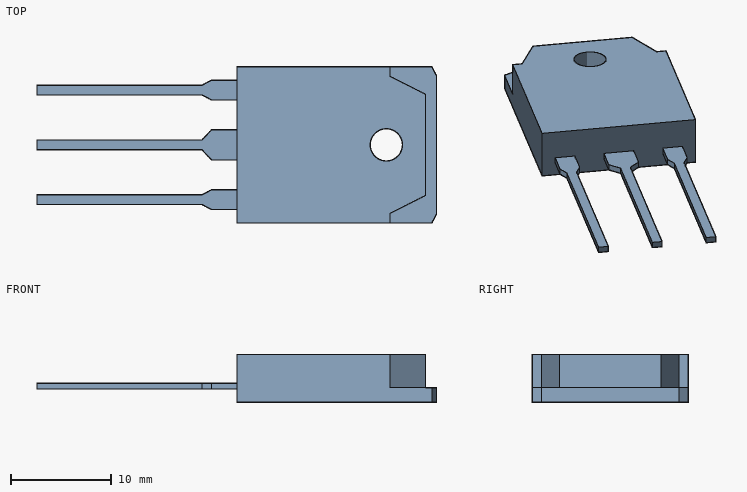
import cadquery as cq

body_length = 19.95
body_width = 15.6
body_height = 4.8
half_width = body_width / 2

tab_thickness = 1.48
tab_corner_length = 0.48
tab_corner_width = 0.9
case_length = 18.85

notch_start = 15.3
notch_step = 0.95
notch_width = 2.75

hole_diameter = 3.2
hole_x = 14.92

lead_length = 19.95
lead_thickness = 0.6
lead_bottom = 1.3
lead_width = 1.0
lead_pitch = 5.45
shoulder_length = 2.5
taper_end = 3.47
outer_shoulder_width = 2.0
middle_shoulder_width = 3.05


def symmetric_plate(half_outline, bottom, thickness, center_y=0.0):
    """Extrude a half outline together with its mirror image about the line Y = center_y."""
    upper = [(x, center_y + y) for x, y in half_outline]
    lower = [(x, center_y - y) for x, y in reversed(half_outline)]
    return cq.Workplane("XY").workplane(offset=bottom).polyline(upper + lower).close().extrude(thickness)


def make_tab():
    outline = [
        (0, half_width),
        (body_length - tab_corner_length, half_width),
        (body_length, half_width - tab_corner_width),
    ]
    return symmetric_plate(outline, 0, tab_thickness)


def make_case():
    outline = [
        (0, half_width),
        (notch_start, half_width),
        (notch_start, half_width - notch_step),
        (case_length, half_width - notch_width),
    ]
    return symmetric_plate(outline, tab_thickness, body_height - tab_thickness)


def make_lead(center_y, shoulder_width):
    outline = [
        (-lead_length, lead_width / 2),
        (-taper_end, lead_width / 2),
        (-shoulder_length, shoulder_width / 2),
        (0, shoulder_width / 2),
    ]
    return symmetric_plate(outline, lead_bottom, lead_thickness, center_y)


hole = cq.Workplane("XY").center(hole_x, 0).circle(hole_diameter / 2).extrude(body_height)

result = make_tab().union(make_case()).cut(hole)
result = result.union(make_lead(0, middle_shoulder_width))
for side in (-1, 1):
    result = result.union(make_lead(side * lead_pitch, outer_shoulder_width))